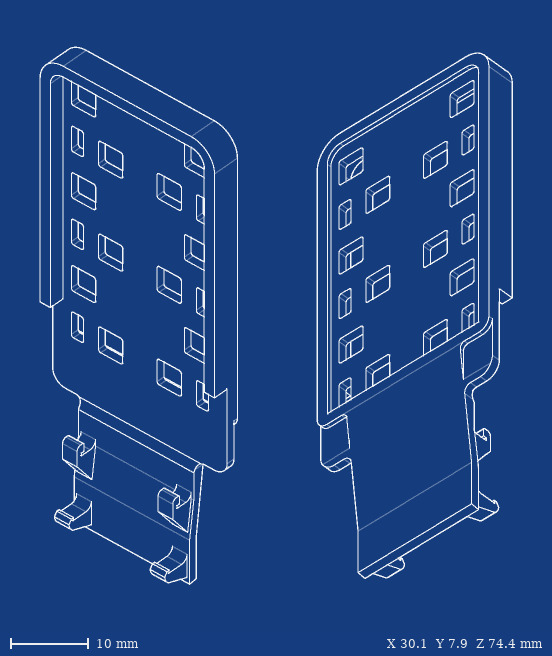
import cadquery as cq
import math

total_height = 74.4
plate_width = 30.1

plate_depth = 2.0
rim_depth = 4.5
rim_width = 1.8
rim_bottom_z = 33.7
rim_corner_radius = 4.0
pocket_corner_radius = rim_corner_radius - rim_width

back_rim_depth = 0.7
back_rim_bottom_z = 26.05
back_rim_lower_radius = 1.7
back_rim_neck_radius = 0.8
plate_bottom_z = 19.3
plate_lower_radius = 2.2

tongue_width = 19.95
plate_neck_radius = 1.1
tongue_thickness = 1.35
tongue_upper_depth = 2.75
tongue_lower_depth = 3.6
tongue_end_rise = 0.15
ledge_top_z = 19.1
ledge_bottom_z = 17.8
bend_top_z = 13.3
bend_bottom_z = 7.2

window_size = 4.2
slot_width = window_size / 2
window_radius = 0.4
window_outer_x = 11.8
inner_window_x = 5.05
row_count = 6
top_row_z = 68.4
bottom_row_z = 30.35
row_pitch = (top_row_z - bottom_row_z) / (row_count - 1)

hook_width = 2.5
hook_x = 8.25
hook_root_overlap = 0.4

upper_hook_front = 6.3
upper_hook_top_z = 15.2
upper_hook_seat_z = 13.3
upper_hook_lip_z = 13.8
upper_hook_lip_depth = 5.0
upper_hook_throat_depth = 5.5
upper_hook_nose_z = 12.0
upper_hook_foot_z = 8.2
upper_hook_root_depth = 3.4
upper_hook_front_radius = 0.7
upper_hook_back_radius = 0.3

lower_hook_front = 7.9
lower_hook_top_z = 4.1
lower_hook_seat_z = 3.65
lower_hook_seat_depth = 7.15
lower_hook_lip_depth = 7.0
lower_hook_crest_depth = 7.45
lower_hook_nose_z = 3.4
lower_hook_cheek_depth = 7.7
lower_hook_cheek_z = 2.7
lower_hook_chin_depth = 7.15
lower_hook_chin_z = 2.1
lower_hook_foot_z = 0.9
hook_root_radius = 1.05


def box(x_min, x_max, y_min, y_max, z_min, z_max):
    size = (x_max - x_min, y_max - y_min, z_max - z_min)
    return cq.Workplane("XY").box(*size, centered=False).translate((x_min, y_min, z_min))


def extrude_across(profile, width):
    """Extrude a closed (Y, Z) profile symmetrically about X = 0."""
    return profile.close().extrude(width / 2, both=True)


def layer(bottom_z, depth_min, depth_max, lower_radius, neck_radius):
    """Plate outline with its tongue, between two depths from the back face."""
    half_plate = plate_width / 2
    half_tongue = tongue_width / 2
    plate = box(-half_plate, half_plate, -depth_max, -depth_min, bottom_z, total_height)
    plate = plate.edges("|Y and >Z").fillet(rim_corner_radius)
    plate = plate.edges("|Y and <Z").fillet(lower_radius)
    tongue = box(-half_tongue, half_tongue, -depth_max, -depth_min, 0, bottom_z)
    neck = cq.selectors.BoxSelector(
        (-half_tongue - neck_radius, -depth_max, bottom_z - neck_radius),
        (half_tongue + neck_radius, -depth_min, bottom_z + neck_radius),
    )
    return plate.union(tongue).edges("|Y").edges(neck).fillet(neck_radius)


def side_envelope():
    """Side profile of rim, plate and bent tongue."""
    tongue_back = tongue_lower_depth - tongue_thickness
    profile = (
        cq.Workplane("YZ")
        .moveTo(0, total_height)
        .lineTo(-rim_depth, total_height)
        .lineTo(-rim_depth, rim_bottom_z)
        .lineTo(-plate_depth, rim_bottom_z)
        .lineTo(-plate_depth, ledge_top_z)
        .lineTo(-tongue_upper_depth, ledge_bottom_z)
        .lineTo(-tongue_upper_depth, bend_top_z)
        .lineTo(-tongue_lower_depth, bend_bottom_z)
        .lineTo(-tongue_lower_depth, 0)
        .lineTo(-tongue_back, tongue_end_rise)
        .lineTo(-tongue_back, bend_bottom_z)
        .lineTo(0, back_rim_bottom_z)
    )
    return extrude_across(profile, plate_width)


def pocket(bottom_z, depth_min, depth_max):
    """Recess inside the rim, with rounded upper corners."""
    half_width = plate_width / 2 - rim_width
    top_z = total_height - rim_width
    recess = box(-half_width, half_width, -depth_max, -depth_min, bottom_z, top_z)
    return recess.edges("|Y and >Z").fillet(pocket_corner_radius)


def window(x, z, width):
    cutter = cq.Workplane("XY").box(width, 2 * rim_depth, window_size)
    return cutter.edges("|Y").fillet(window_radius).translate((x, 0, z))


def cut_windows(body):
    """Alternate rows of outer windows with rows of inner windows and outer slots."""
    for row in range(row_count):
        z = top_row_z - row * row_pitch
        for side in (-1, 1):
            if row % 2 == 0:
                outer_x = window_outer_x - window_size / 2
                body = body.cut(window(side * outer_x, z, window_size))
            else:
                slot_x = window_outer_x - slot_width / 2
                body = body.cut(window(side * slot_x, z, slot_width))
                body = body.cut(window(side * inner_window_x, z, window_size))
    return body


def hook_profile(root_depth, seat_z):
    """Start a (Y, Z) hook profile inside the tongue, up to the seat end of its root fillet."""
    root = -root_depth
    arc_offset = hook_root_radius * (1 - math.sqrt(0.5))
    return (
        cq.Workplane("YZ")
        .moveTo(root + hook_root_overlap, seat_z + hook_root_radius)
        .lineTo(root, seat_z + hook_root_radius)
        .threePointArc((root - arc_offset, seat_z + arc_offset), (root - hook_root_radius, seat_z))
    )


def upper_hook():
    """Hook with an upright finger and a throat notched behind it."""
    profile = (
        hook_profile(tongue_upper_depth, upper_hook_seat_z)
        .lineTo(-upper_hook_throat_depth, upper_hook_seat_z)
        .lineTo(-upper_hook_throat_depth, upper_hook_lip_z)
        .lineTo(-upper_hook_lip_depth, upper_hook_lip_z)
        .lineTo(-upper_hook_lip_depth, upper_hook_top_z)
        .lineTo(-upper_hook_front, upper_hook_top_z)
        .lineTo(-upper_hook_front, upper_hook_nose_z)
        .lineTo(-upper_hook_root_depth, upper_hook_foot_z)
        .lineTo(-upper_hook_root_depth + hook_root_overlap, upper_hook_foot_z)
    )
    hook = extrude_across(profile, hook_width)
    hook = hook.edges("|X and >Z").edges("<Y").fillet(upper_hook_front_radius)
    back_edge = cq.selectors.NearestToPointSelector((0, -upper_hook_lip_depth, upper_hook_top_z))
    return hook.edges("|X").edges(back_edge).fillet(upper_hook_back_radius)


def lower_hook():
    """Hook with a low overhanging lip at its tip and a rounded nose."""
    root = -tongue_lower_depth
    cheek = (-lower_hook_cheek_depth, lower_hook_cheek_z)
    chin = (-lower_hook_chin_depth, lower_hook_chin_z)
    profile = (
        hook_profile(tongue_lower_depth, lower_hook_seat_z)
        .lineTo(-lower_hook_seat_depth, lower_hook_seat_z)
        .lineTo(-lower_hook_lip_depth, lower_hook_top_z)
        .lineTo(-lower_hook_crest_depth, lower_hook_top_z)
        .lineTo(-lower_hook_front, lower_hook_nose_z)
        .threePointArc(cheek, chin)
        .lineTo(root, lower_hook_foot_z)
        .lineTo(root + hook_root_overlap, lower_hook_foot_z)
    )
    return extrude_across(profile, hook_width)


back_body = layer(
    back_rim_bottom_z, 0, back_rim_depth,
    back_rim_lower_radius, back_rim_neck_radius,
)
front_body = layer(
    plate_bottom_z, back_rim_depth, rim_depth,
    plate_lower_radius, plate_neck_radius,
)
body = back_body.union(front_body).intersect(side_envelope())

body = body.cut(pocket(rim_bottom_z, plate_depth, rim_depth))
body = body.cut(pocket(back_rim_bottom_z + rim_width, 0, back_rim_depth))
body = cut_windows(body)

for side in (-1, 1):
    for hook in (upper_hook(), lower_hook()):
        body = body.union(hook.translate((side * hook_x, 0, 0)))

result = body